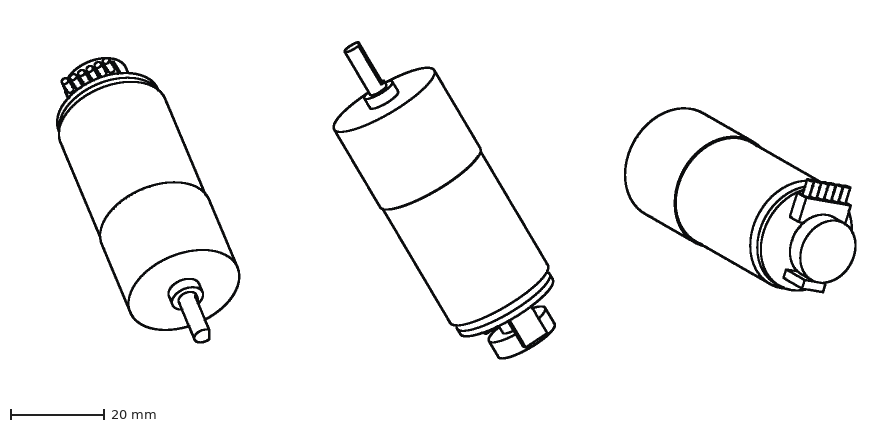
import cadquery as cq


magnet_rear = 0.0
magnet_front = 4.15
board_rear = 8.7
board_front = 10.1
motor_rear = 11.9
gearbox_rear = 41.9
gearbox_front = 61.9
boss_front = 64.4
flat_start = 65.5
shaft_tip = 75.5

magnet_diameter = 14.05
hub_diameter = 7.1
board_diameter = 23.1
journal_diameter = 5.1
motor_diameter = 24.4
gearbox_diameter = 25.0
boss_diameter = 7.0
shaft_diameter = 4.1

flat_offset = 1.35

encoder_angle = 20.0

header_rear = 5.05
header_width = 12.0
header_bottom = 4.2
header_top = 9.75

pin_count = 6
pin_pitch = 2.0
pin_diameter = 1.5
pin_length = 3.55
pin_x = 6.9

sensor_rear = 1.2
sensor_width = 5.7
sensor_bottom = -9.2
sensor_top = -7.25


def cylinder(x_start, x_end, diameter):
    """Solid cylinder on the X axis."""
    return cq.Workplane("YZ", origin=(x_start, 0, 0)).circle(diameter / 2).extrude(x_end - x_start)


def block(x_start, x_end, width, z_bottom, z_top):
    """Box centred on Y = 0."""
    size = (x_end - x_start, width, z_top - z_bottom)
    return cq.Workplane("XY", origin=(x_start, 0, z_bottom)).box(*size, centered=(False, True, False))


def output_shaft():
    """Round shaft with a flat running to its tip."""
    shaft = cylinder(boss_front, shaft_tip, shaft_diameter)
    flat_cut = block(flat_start, shaft_tip, shaft_diameter, -shaft_diameter / 2, shaft_diameter / 2)
    return shaft.cut(flat_cut.translate((0, flat_offset + shaft_diameter / 2, 0)))


def pin_header():
    """Header block with a row of round pins on top."""
    header = block(header_rear, board_rear, header_width, header_bottom, header_top)
    pins = (
        cq.Workplane("XY", origin=(pin_x, 0, header_top))
        .rarray(0.75, pin_pitch, 1, pin_count)
        .circle(pin_diameter / 2)
        .extrude(pin_length)
    )
    return header.union(pins)


def board_parts():
    """Pin header and sensor block, turned to their place on the board."""
    sensor = block(sensor_rear, board_rear, sensor_width, sensor_bottom, sensor_top)
    return pin_header().add(sensor).combine().rotate((0, 0, 0), (1, 0, 0), encoder_angle)


turned_sections = [
    (magnet_rear, magnet_front, magnet_diameter),
    (magnet_front, board_rear, hub_diameter),
    (board_rear, board_front, board_diameter),
    (board_front, motor_rear, journal_diameter),
    (motor_rear, gearbox_rear, motor_diameter),
    (gearbox_rear, gearbox_front, gearbox_diameter),
    (gearbox_front, boss_front, boss_diameter),
]

result = output_shaft()
for section in turned_sections:
    result = result.union(cylinder(*section))
result = result.union(board_parts())